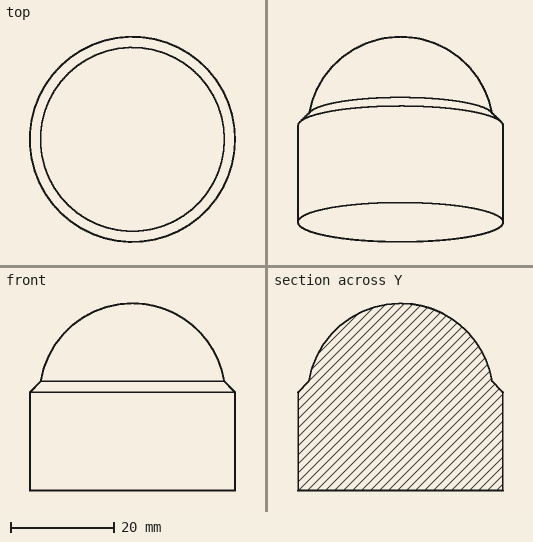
import cadquery as cq
import math

body_diameter = 39.7
total_height = 36.2
wall_height = 19.0
dome_radius = 18.0
dome_base_height = 21.1

body_radius = body_diameter / 2
dome_center_height = total_height - dome_radius
dome_base_radius = math.sqrt(dome_radius**2 - (dome_base_height - dome_center_height) ** 2)

dome_base_angle = math.asin((dome_base_height - dome_center_height) / dome_radius)
dome_mid_angle = (dome_base_angle + math.pi / 2) / 2
dome_mid_point = (
    dome_radius * math.cos(dome_mid_angle),
    dome_center_height + dome_radius * math.sin(dome_mid_angle),
)


def make_cap():
    """Revolve the half profile (radius, height) of the domed cap about Z."""
    profile = (
        cq.Workplane("XZ")
        .moveTo(0, 0)
        .lineTo(body_radius, 0)
        .lineTo(body_radius, wall_height)
        .lineTo(dome_base_radius, dome_base_height)
        .threePointArc(dome_mid_point, (0, total_height))
        .close()
    )
    return profile.revolve(360, (0, 0, 0), (0, 1, 0))


result = make_cap()